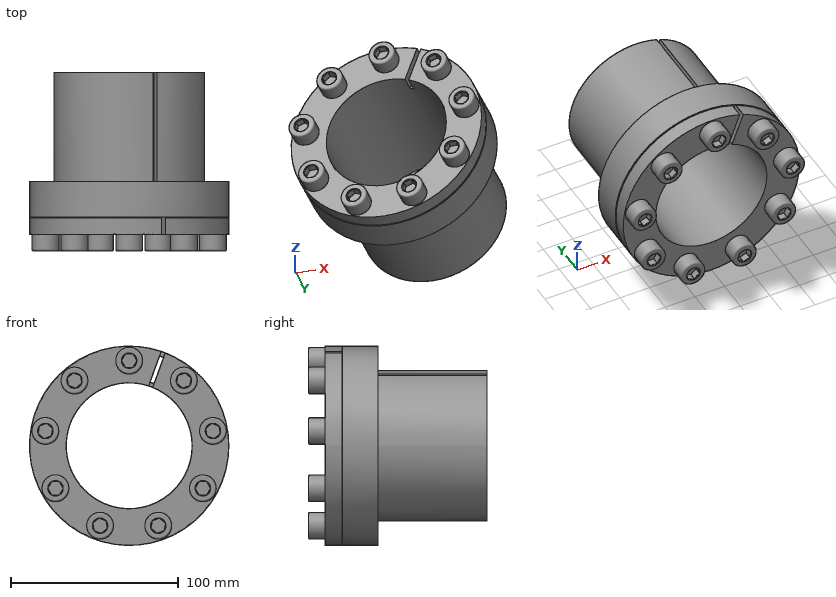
import cadquery as cq
import math


bore_diameter = 75.0
sleeve_diameter = 90.0
flange_diameter = 119.0
flange_thickness = 9.85
ring_thickness = 21.3
sleeve_length = 65.0

groove_width = 0.35
groove_depth = 0.5

ring_front = flange_thickness + groove_width
ring_back = ring_front + ring_thickness
hub_length = ring_back + sleeve_length

slit_angle = 20.0
slit_width = 2.5
slit_inner_radius = 40.0
slit_outer_radius = 56.5

screw_count = 9
screw_circle_radius = 50.75
head_diameter = 16.0
head_height = 10.0
head_fillet = 1.0
socket_across_flats = 8.0
socket_across_corners = socket_across_flats / math.cos(math.radians(30))
socket_depth = 5.0
countersink_depth = (socket_across_corners - socket_across_flats) / 2


def cylinder(diameter, start, length):
    """Cylinder on the Y axis that runs from depth `start` toward +Y."""
    profile = cq.Workplane("XZ", origin=(0, start, 0)).circle(diameter / 2)
    return profile.extrude(-length)


def slit_cutter(inner_radius, outer_radius, length):
    """Slab that cuts the slit between two radii, from the flange face to depth `length`."""
    radial_size = outer_radius - inner_radius
    slab = cq.Workplane("XY").box(slit_width, length, radial_size, centered=(True, False, False))
    slab = slab.translate((0, 0, inner_radius))
    return slab.rotate((0, 0, 0), (0, 1, 0), slit_angle)


def make_hub():
    hub = cylinder(flange_diameter, 0, ring_back)
    hub = hub.union(cylinder(sleeve_diameter, 0, hub_length))
    hub = hub.cut(cylinder(bore_diameter, 0, hub_length))

    groove = cylinder(flange_diameter, flange_thickness, groove_width)
    groove = groove.cut(cylinder(flange_diameter - 2 * groove_depth, flange_thickness, groove_width))
    hub = hub.cut(groove)

    hub = hub.cut(slit_cutter(0, flange_diameter, ring_front))
    return hub.cut(slit_cutter(slit_inner_radius, slit_outer_radius, hub_length))


def make_screw(angle):
    """Socket head seated on the flange face, `angle` degrees from +Z toward +X."""
    head = cylinder(head_diameter, -head_height, head_height)
    head = head.faces("<Y").edges().fillet(head_fillet)
    socket = cq.Workplane("XZ", origin=(0, -head_height, 0))
    socket = socket.polygon(6, socket_across_corners).extrude(-socket_depth)
    countersink = cq.Solid.makeCone(
        socket_across_corners / 2,
        socket_across_flats / 2,
        countersink_depth,
        cq.Vector(0, -head_height, 0),
        cq.Vector(0, 1, 0),
    )
    screw = head.cut(socket).cut(cq.Workplane(countersink))
    screw = screw.translate((0, 0, screw_circle_radius))
    return screw.rotate((0, 0, 0), (0, 1, 0), angle)


hub = make_hub()
screws = [make_screw(index * 360 / screw_count) for index in range(screw_count)]

result = cq.Compound.makeCompound([hub.val(), *[screw.val() for screw in screws]])